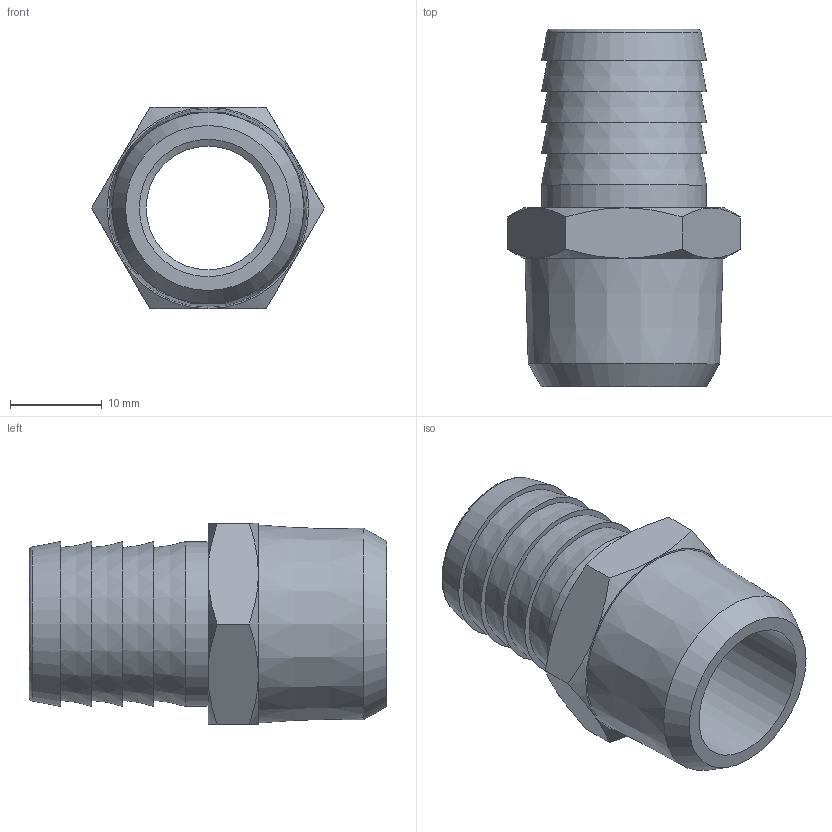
import cadquery as cq
import math


thread_length = 14.0
thread_tip_length = 2.5
thread_tip_angle = 30.0
thread_start_diameter = 20.9
thread_taper = 1.0 / 16.0

hex_sides = 6
hex_width = 22.0
hex_length = 5.5
hex_chamfer_angle = 30.0

collar_length = 2.5
hose_diameter = 18.0
barb_root_diameter = 16.7
barb_count = 5
barb_pitch = 3.4
tip_round = 0.4

bore_thread_diameter = 15.0
bore_hose_diameter = 13.5
bore_step_angle = 60.0

hex_end = thread_length + hex_length
collar_end = hex_end + collar_length
total_length = collar_end + barb_count * barb_pitch

thread_start_radius = thread_start_diameter / 2
thread_tip_radius = thread_start_radius - thread_tip_length * math.tan(math.radians(thread_tip_angle))
thread_end_radius = thread_start_radius + (thread_length - thread_tip_length) * thread_taper / 2
hex_inner_radius = hex_width / 2
hex_outer_radius = hex_inner_radius / math.cos(math.pi / hex_sides)
hex_chamfer_drop = (hex_outer_radius - hex_inner_radius) * math.tan(math.radians(hex_chamfer_angle))
hose_radius = hose_diameter / 2
barb_root_radius = barb_root_diameter / 2
bore_thread_radius = bore_thread_diameter / 2
bore_hose_radius = bore_hose_diameter / 2
bore_step_length = (bore_thread_radius - bore_hose_radius) / math.tan(math.radians(bore_step_angle))


def revolve_about_y(points):
    """Revolve a closed (radius, Y) outline about the Y axis."""
    return cq.Workplane("XY").polyline(points).close().revolve(360, (0, 0, 0), (0, 1, 0))


def make_thread_body():
    """Cone that widens toward the hexagon, with a steeper lead-in cone at its free end."""
    return revolve_about_y([
        (0, 0),
        (thread_tip_radius, 0),
        (thread_start_radius, thread_tip_length),
        (thread_end_radius, thread_length),
        (0, thread_length),
    ])


def make_hex():
    """Hexagon with corners on +X and -X, both ends chamfered by a cone."""
    prism = (
        cq.Workplane("XZ", origin=(0, hex_end, 0))
        .polygon(hex_sides, 2 * hex_outer_radius)
        .extrude(hex_length)
    )
    chamfer_envelope = revolve_about_y([
        (0, thread_length),
        (hex_inner_radius, thread_length),
        (hex_outer_radius, thread_length + hex_chamfer_drop),
        (hex_outer_radius, hex_end - hex_chamfer_drop),
        (hex_inner_radius, hex_end),
        (0, hex_end),
    ])
    return prism.intersect(chamfer_envelope)


def make_hose_tail():
    """Collar followed by barbs that narrow toward the hose end."""
    points = [(0, hex_end), (hose_radius, hex_end)]
    for index in range(barb_count):
        barb_start = collar_end + index * barb_pitch
        points.append((hose_radius, barb_start))
        points.append((barb_root_radius, barb_start + barb_pitch))
    points.append((0, total_length))
    return revolve_about_y(points).faces(">Y").edges().fillet(tip_round)


def make_bore():
    """Cutter for the bore; its conical step starts level with the thread end of the hexagon."""
    return revolve_about_y([
        (0, 0),
        (bore_thread_radius, 0),
        (bore_thread_radius, thread_length),
        (bore_hose_radius, thread_length + bore_step_length),
        (bore_hose_radius, total_length),
        (0, total_length),
    ])


result = make_thread_body().union(make_hex()).union(make_hose_tail()).cut(make_bore())